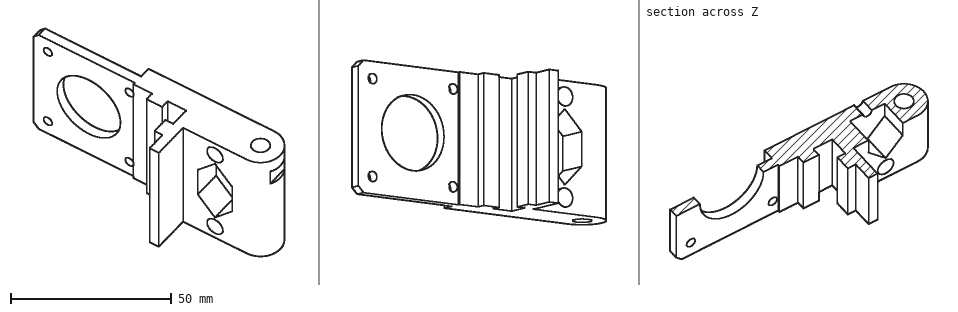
import cadquery as cq

HEIGHT = 42.0
MID_Z = HEIGHT / 2

MOTOR_SIZE = 42.0
MOTOR_X = MOTOR_SIZE / 2
MOTOR_SCREW_SPACING = 31.0
MOTOR_BOSS_DIAMETER = 24.0
SCREW_DIAMETER = 3.2
PLATE_THICKNESS = 3.5
PLATE_CHAMFER = 2.0

PROFILE_SIZE = 20.0
TONGUE_WIDTH = 5.9
TONGUE_HEIGHT = 3.0
RIB_THICKNESS = 3.5

BLOCK_THICKNESS = 15.0
BLOCK_START_X = 38.5
PIVOT_RADIUS = BLOCK_THICKNESS / 2
PIVOT_X = 86.2
PIVOT_DIAMETER = 6.0

BLOCK_FRONT_Y = -BLOCK_THICKNESS
PLATE_FRONT_Y = -7.5
PLATE_BACK_Y = PLATE_FRONT_Y + PLATE_THICKNESS
PROFILE_SEAT_Y = -8.25
RIB_LEFT_X = BLOCK_START_X + PROFILE_SIZE
RIB_RIGHT_X = RIB_LEFT_X + RIB_THICKNESS
RIB_END_Y = PROFILE_SEAT_Y - PROFILE_SIZE

POCKET_X = (RIB_RIGHT_X + PIVOT_X) / 2
POCKET_HALF_WIDTH = 6.5
POCKET_HALF_HEIGHT = 12.0
POCKET_DEPTH = 10.0
BLIND_HOLE_DIAMETER = 6.0
BLIND_HOLE_DEPTH = 10.0
BLIND_HOLE_OFFSET = 16.0

NOTCH_DEPTH = 1.1
NOTCH_BOTTOM_Z = 31.9
NOTCH_HEIGHT = 5.4


def box(x_start, x_end, y_start, y_end, z_start=0.0, z_end=HEIGHT):
    """Box between two opposite corners, full height by default."""
    size = (x_end - x_start, y_end - y_start, z_end - z_start)
    return cq.Workplane("XY").box(*size, centered=False).translate((x_start, y_start, z_start))


def front_plane(y):
    """Plane facing -Y with local X along +X and local Y along +Z; extrusions run towards -Y."""
    return cq.Workplane("XZ", origin=(0, y, 0))


def motor_plate():
    plate = box(0, BLOCK_START_X, PLATE_FRONT_Y, PLATE_BACK_Y)
    plate = plate.edges("|Y and <X").chamfer(PLATE_CHAMFER)
    half_spacing = MOTOR_SCREW_SPACING / 2
    screw_points = [
        (MOTOR_X + x_side * half_spacing, MID_Z + z_side * half_spacing)
        for x_side in (-1, 1)
        for z_side in (-1, 1)
    ]
    screws = front_plane(PLATE_BACK_Y).pushPoints(screw_points).circle(SCREW_DIAMETER / 2)
    boss = front_plane(PLATE_BACK_Y).center(MOTOR_X, MID_Z).circle(MOTOR_BOSS_DIAMETER / 2)
    return plate.cut(screws.extrude(PLATE_THICKNESS)).cut(boss.extrude(PLATE_THICKNESS))


def pivot_block():
    """Block and rib in one outline, with a half-round end about the pivot."""
    return (
        cq.Workplane("XY")
        .moveTo(BLOCK_START_X, 0)
        .lineTo(PIVOT_X, 0)
        .threePointArc((PIVOT_X + PIVOT_RADIUS, -PIVOT_RADIUS), (PIVOT_X, BLOCK_FRONT_Y))
        .lineTo(RIB_RIGHT_X, BLOCK_FRONT_Y)
        .lineTo(RIB_RIGHT_X, RIB_END_Y)
        .lineTo(RIB_LEFT_X, RIB_END_Y)
        .lineTo(RIB_LEFT_X, PROFILE_SEAT_Y)
        .lineTo(BLOCK_START_X, PROFILE_SEAT_Y)
        .close()
        .extrude(HEIGHT)
    )


def profile_tongues():
    """Tongues that enter the grooves centred on two sides of the profile."""
    groove_x = BLOCK_START_X + PROFILE_SIZE / 2
    groove_y = PROFILE_SEAT_Y - PROFILE_SIZE / 2
    half_width = TONGUE_WIDTH / 2
    block_tongue = box(
        groove_x - half_width, groove_x + half_width, PROFILE_SEAT_Y - TONGUE_HEIGHT, PROFILE_SEAT_Y
    )
    rib_tongue = box(
        RIB_LEFT_X - TONGUE_HEIGHT, RIB_LEFT_X, groove_y - half_width, groove_y + half_width
    )
    return block_tongue.union(rib_tongue)


def pivot_hole():
    return cq.Workplane("XY").center(PIVOT_X, -PIVOT_RADIUS).circle(PIVOT_DIAMETER / 2).extrude(HEIGHT)


def hexagonal_pocket():
    """Upright six-sided pocket whose ends are 45 degree points."""
    side_half_height = POCKET_HALF_HEIGHT - POCKET_HALF_WIDTH
    outline = [
        (0, POCKET_HALF_HEIGHT),
        (POCKET_HALF_WIDTH, side_half_height),
        (POCKET_HALF_WIDTH, -side_half_height),
        (0, -POCKET_HALF_HEIGHT),
        (-POCKET_HALF_WIDTH, -side_half_height),
        (-POCKET_HALF_WIDTH, side_half_height),
    ]
    floor_plane = front_plane(BLOCK_FRONT_Y + POCKET_DEPTH)
    return floor_plane.center(POCKET_X, MID_Z).polyline(outline).close().extrude(POCKET_DEPTH)


def pocket_screw_hole():
    return front_plane(0).center(POCKET_X, MID_Z).circle(SCREW_DIAMETER / 2).extrude(BLOCK_THICKNESS)


def blind_holes():
    centers = [(POCKET_X, MID_Z + side * BLIND_HOLE_OFFSET) for side in (-1, 1)]
    floor_plane = front_plane(BLOCK_FRONT_Y + BLIND_HOLE_DEPTH)
    return floor_plane.pushPoints(centers).circle(BLIND_HOLE_DIAMETER / 2).extrude(BLIND_HOLE_DEPTH)


def end_notch():
    tip_x = PIVOT_X + PIVOT_RADIUS
    notch_top_z = NOTCH_BOTTOM_Z + NOTCH_HEIGHT
    return box(tip_x - NOTCH_DEPTH, tip_x, BLOCK_FRONT_Y, 0, NOTCH_BOTTOM_Z, notch_top_z)


result = (
    pivot_block()
    .union(motor_plate())
    .union(profile_tongues())
    .cut(pivot_hole())
    .cut(hexagonal_pocket())
    .cut(pocket_screw_hole())
    .cut(blind_holes())
    .cut(end_notch())
)